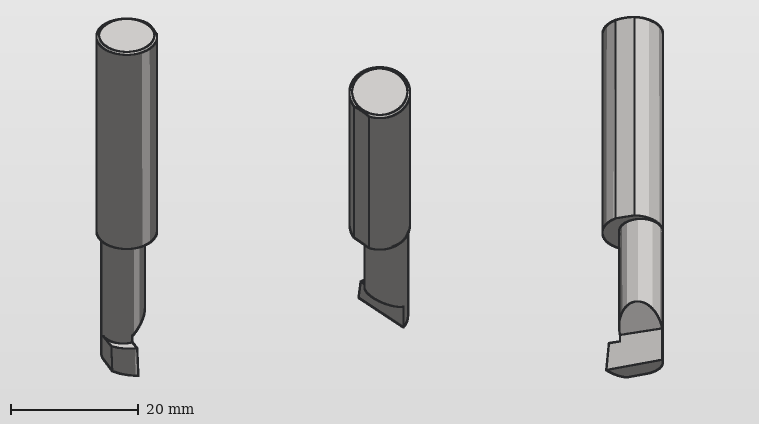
import cadquery as cq
import math

total_length = 63.5
shank_radius = 4.75
shank_bottom = 25.4
shank_flat_y = 4.5
shank_chamfer_radial = 0.45
shank_chamfer_height = 0.25

neck_radius = 3.4
neck_center_x = neck_radius - shank_radius
half_cut_height = 6.3
half_cut_angle = 45.0

head_top = 5.1
head_tip_x = 3.9
facet_start_x = 1.6
facet_end_x = 2.55
facet_end_y = -2.55
relief_bulge = 0.1
side_clearance_angle = 4.9
end_clearance_angle = 6.0
end_side_angle = 2.0

end_tip_x = head_tip_x + head_top * math.tan(math.radians(side_clearance_angle))
end_clearance_slope = math.tan(math.radians(end_clearance_angle))
end_side_slope = math.tan(math.radians(end_side_angle))


def make_shank():
    """Round shank with a chamfered top end and a narrow flat on its +Y side."""
    shank = (
        cq.Workplane("XY", origin=(0, 0, shank_bottom))
        .circle(shank_radius)
        .extrude(total_length - shank_bottom)
        .faces(">Z")
        .chamfer(shank_chamfer_height, shank_chamfer_radial)
    )
    kept = cq.Workplane("XY").box(
        2 * shank_radius, shank_radius + shank_flat_y, total_length, centered=(True, False, False)
    )
    return shank.intersect(kept.translate((0, -shank_radius, 0)))


def make_neck():
    """Offset round neck, cut back to its -Y half below a sloping runout."""
    neck = cq.Workplane("XY").center(neck_center_x, 0).circle(neck_radius).extrude(shank_bottom)
    runout_height = half_cut_height + neck_radius * math.tan(math.radians(half_cut_angle))
    half_cut = (
        cq.Workplane("YZ")
        .polyline([(0, 0), (neck_radius, 0), (neck_radius, runout_height), (0, half_cut_height)])
        .close()
        .extrude(shank_radius, both=True)
    )
    return neck.cut(half_cut)


def make_head():
    """Cutting head: faceted, curved relief profile leaning outward toward the tip."""
    def profile(plane, side_shift):
        tip_x = head_tip_x + side_shift
        corner_x = facet_end_x + side_shift
        chord_x = tip_x - corner_x
        chord_y = -facet_end_y
        chord = math.hypot(chord_x, chord_y)
        relief_middle = (
            (tip_x + corner_x) / 2 + relief_bulge * chord_y / chord,
            facet_end_y / 2 - relief_bulge * chord_x / chord,
        )
        return (
            plane.moveTo(neck_center_x, 0)
            .lineTo(neck_center_x, -neck_radius)
            .lineTo(facet_start_x + side_shift, -neck_radius)
            .lineTo(corner_x, facet_end_y)
            .threePointArc(relief_middle, (tip_x, 0))
            .close()
        )

    lower = profile(cq.Workplane("XY"), end_tip_x - head_tip_x)
    return profile(lower.workplane(offset=head_top), 0).loft(ruled=True)


def make_end_clearance():
    """Wedge under the end face, which rises away from the tip toward -X and -Y."""
    end_plane = cq.Plane(
        origin=(end_tip_x, 0, 0),
        xDir=(1, 0, -end_side_slope),
        normal=(-end_side_slope, -end_clearance_slope, -1),
    )
    wedge_size = 4 * shank_radius
    return cq.Workplane(end_plane).rect(wedge_size, wedge_size).extrude(shank_radius)


result = make_shank().union(make_neck()).union(make_head()).cut(make_end_clearance())